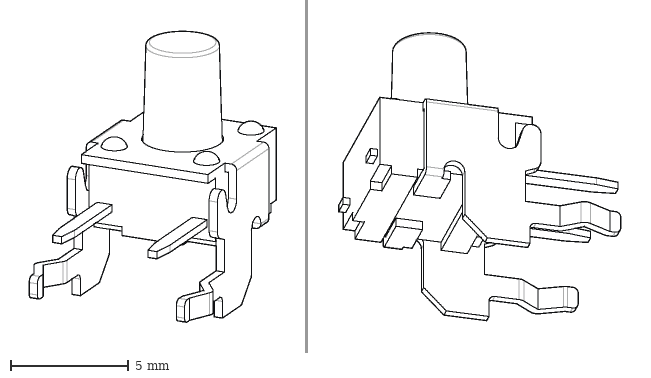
import cadquery as cq
import math


sheet = 0.4
bend_radius = 0.25
overall_height = 10.85

half_width = 3.0
cover_top = 6.49
cover_underside = cover_top - sheet
foot_bottom = 2.83
housing_bottom = foot_bottom + sheet
foot_inner_y = 1.33
foot_notch_y = 2.49
foot_notch_x = 1.44

cover_front = -3.75
wing_back = 1.09
wing_front = -2.09
wall_outer = 3.56
wall_inner = wall_outer - sheet
plunger_hole_radius = 1.75

dome_offset = 2.19
dome_base_radius = 0.56
dome_height = 0.41

plunger_base_radius = 1.7
plunger_top_radius = 1.57
plunger_edge_radius = 0.15

slot_radius = 0.45
slot_center = (wing_front - slot_radius, 4.94)
finger_radius = 0.41
finger_front = -3.98
finger_center = (finger_front + finger_radius, 5.4)
finger_corner_radius = 0.4
finger_corner_z = 3.78
finger_root_z = 3.5
relief_center = (-0.15, 3.08)
leg_rear = relief_center[0] - slot_radius
leg_bevel = 1.0
leg_front = -3.3
leg_foot_front = -3.5
fold_front = -0.09

arm_bottom = 1.01
arm_top = 2.02
arm_end = -7.48
shoulder_pivot = (wall_outer, -4.83)
elbow_pivot = (3.81, -5.83)
wrist_pivot = (3.68, -7.0)

pin_x = 2.25
pin_width = 0.7
pin_tip_width = 0.43
pin_thickness = 0.33
pin_mid_z = 3.99
pin_back = 3.31
pin_front = -7.69
pin_taper_start = -6.69


def block(x_range, y_range, z_range):
    """Axis-aligned box between the given limits."""
    size = [high - low for low, high in (x_range, y_range, z_range)]
    corner = (x_range[0], y_range[0], z_range[0])
    return cq.Workplane("XY").box(*size, centered=False).translate(corner)


def polar(center, radius, angle):
    """Point on a circle, angle in radians."""
    return (center[0] + radius * math.cos(angle), center[1] + radius * math.sin(angle))


def both_sides(shape):
    """The shape together with its mirror image across the YZ plane."""
    return shape.union(shape.mirror("YZ"))


def make_housing():
    body = block((-half_width, half_width), (-half_width, half_width), (housing_bottom, cover_underside))
    foot_z = (foot_bottom, housing_bottom)
    for side in (1, -1):
        wide_y = sorted((side * foot_inner_y, side * foot_notch_y))
        narrow_y = sorted((side * foot_notch_y, side * half_width))
        body = body.union(block((-half_width, half_width), wide_y, foot_z))
        body = body.union(block((-foot_notch_x, foot_notch_x), narrow_y, foot_z))
    return body


def make_cover_plate():
    plate_z = (cover_underside, cover_top)
    plate = block((-half_width, half_width), (cover_front, half_width), plate_z)
    wings = block((-wall_outer, wall_outer), (wing_front, wing_back), plate_z)
    wings = wings.edges("|Y and >Z").fillet(bend_radius)
    hole = cq.Workplane("XY").workplane(offset=cover_underside).circle(plunger_hole_radius).extrude(sheet)
    return plate.union(wings).cut(hole)


def make_domes():
    sphere_radius = (dome_base_radius**2 + dome_height**2) / (2 * dome_height)
    sphere_z = cover_top + dome_height - sphere_radius
    domes = (
        cq.Workplane("XY")
        .workplane(offset=sphere_z)
        .rect(2 * dome_offset, 2 * dome_offset, forConstruction=True)
        .vertices()
        .sphere(sphere_radius)
    )
    cap_zone = block(
        (-half_width, half_width),
        (-half_width, half_width),
        (cover_top - sheet / 2, overall_height),
    )
    return domes.intersect(cap_zone)


def make_plunger():
    return (
        cq.Workplane("XZ")
        .moveTo(0, cover_underside)
        .lineTo(plunger_base_radius, cover_underside)
        .lineTo(plunger_top_radius, overall_height)
        .lineTo(0, overall_height)
        .close()
        .revolve(360, (0, 0), (0, 1))
        .edges(">Z")
        .fillet(plunger_edge_radius)
    )


def make_wall():
    """Side wall with its slot, finger and leg, drawn in Y and Z."""
    reach_y = slot_center[0] - finger_center[0]
    reach_z = slot_center[1] - finger_center[1]
    center_distance = math.hypot(reach_y, reach_z)
    contact_angle = math.atan2(reach_z, reach_y) + math.acos((finger_radius + slot_radius) / center_distance)
    finger_contact = polar(finger_center, finger_radius, contact_angle)
    slot_contact = polar(slot_center, slot_radius, contact_angle + math.pi)

    slope = math.atan2(finger_corner_z - finger_root_z, leg_front - finger_front)
    corner_setback = finger_corner_radius * math.tan((math.pi / 2 - slope) / 2)
    finger_corner = (finger_front, finger_corner_z)
    corner_start = polar(finger_corner, corner_setback, -slope)
    corner_end = (finger_front, finger_corner_z + corner_setback)

    relief_rear = relief_center[0] + slot_radius
    fold_edge_middle = (wall_outer, (wing_back + relief_rear) / 2, foot_bottom)
    arm_root = leg_foot_front - bend_radius
    foot_round_center = (arm_root, arm_bottom - bend_radius)

    return (
        cq.Workplane("YZ")
        .workplane(offset=wall_inner)
        .moveTo(wing_back, cover_underside)
        .lineTo(wing_back, foot_bottom)
        .lineTo(relief_rear, foot_bottom)
        .lineTo(relief_rear, relief_center[1])
        .threePointArc(
            polar(relief_center, slot_radius, math.pi / 2),
            (leg_rear, relief_center[1]),
        )
        .lineTo(leg_rear, leg_bevel)
        .lineTo(leg_rear - leg_bevel, 0)
        .lineTo(leg_foot_front, 0)
        .lineTo(leg_foot_front, foot_round_center[1])
        .threePointArc(polar(foot_round_center, bend_radius, math.pi / 4), (arm_root, arm_bottom))
        .lineTo(arm_root, arm_top)
        .lineTo(leg_front, arm_top)
        .lineTo(leg_front, finger_root_z)
        .lineTo(*corner_start)
        .tangentArcPoint(corner_end, relative=False)
        .lineTo(finger_front, finger_center[1])
        .threePointArc(polar(finger_center, finger_radius, math.pi / 2), finger_contact)
        .lineTo(*slot_contact)
        .threePointArc(
            polar(slot_center, slot_radius, -math.pi / 2),
            (wing_front, slot_center[1]),
        )
        .lineTo(wing_front, cover_underside)
        .close()
        .extrude(sheet)
        .edges(cq.selectors.NearestToPointSelector(fold_edge_middle))
        .fillet(bend_radius)
    )


def make_fold():
    """Tab folded inward from the wall under the housing."""
    return block((foot_notch_x, wall_inner), (fold_front, wing_back), (foot_bottom, housing_bottom))


def heading(start, end, turn):
    """Tilt from the Y axis of a strip whose opposite sides touch the two pivots."""
    step_x = end[0] - start[0]
    step_y = start[1] - end[1]
    return math.atan2(step_x, step_y) + turn * math.asin(sheet / math.hypot(step_x, step_y))


def make_arm():
    """Snap arm: a strip with three bends, each one rounded about a sharp inner corner."""
    outward = heading(shoulder_pivot, elbow_pivot, 1)
    inward = heading(elbow_pivot, wrist_pivot, -1)
    strip = (
        cq.Workplane("XY")
        .workplane(offset=arm_bottom)
        .moveTo(wall_outer, leg_front)
        .lineTo(wall_inner, leg_front)
        .lineTo(*polar(shoulder_pivot, sheet, math.pi))
        .threePointArc(
            polar(shoulder_pivot, sheet, math.pi + outward / 2),
            polar(shoulder_pivot, sheet, math.pi + outward),
        )
        .lineTo(*elbow_pivot)
        .lineTo(*polar(wrist_pivot, sheet, math.pi + inward))
        .threePointArc(
            polar(wrist_pivot, sheet, math.pi + inward / 2),
            polar(wrist_pivot, sheet, math.pi),
        )
        .lineTo(wrist_pivot[0] - sheet, arm_end)
        .lineTo(wrist_pivot[0], arm_end)
        .lineTo(*wrist_pivot)
        .lineTo(*polar(elbow_pivot, sheet, inward))
        .threePointArc(
            polar(elbow_pivot, sheet, (inward + outward) / 2),
            polar(elbow_pivot, sheet, outward),
        )
        .lineTo(*shoulder_pivot)
        .close()
        .extrude(arm_top - arm_bottom)
    )
    return strip.edges("|X and <Y").fillet(bend_radius)


def make_pin():
    """Flat terminal through the housing, tapered at its front end."""
    half_pin = pin_width / 2
    half_tip = pin_tip_width / 2
    return (
        cq.Workplane("XY")
        .workplane(offset=pin_mid_z - pin_thickness / 2)
        .moveTo(pin_x - half_pin, pin_back)
        .lineTo(pin_x + half_pin, pin_back)
        .lineTo(pin_x + half_pin, pin_taper_start)
        .lineTo(pin_x + half_tip, pin_front)
        .lineTo(pin_x - half_tip, pin_front)
        .lineTo(pin_x - half_pin, pin_taper_start)
        .close()
        .extrude(pin_thickness)
    )


bracket_side = make_wall().union(make_fold()).union(make_arm())

result = (
    make_housing()
    .union(make_cover_plate())
    .union(make_plunger())
    .union(make_domes())
    .union(both_sides(bracket_side))
    .union(both_sides(make_pin()))
)